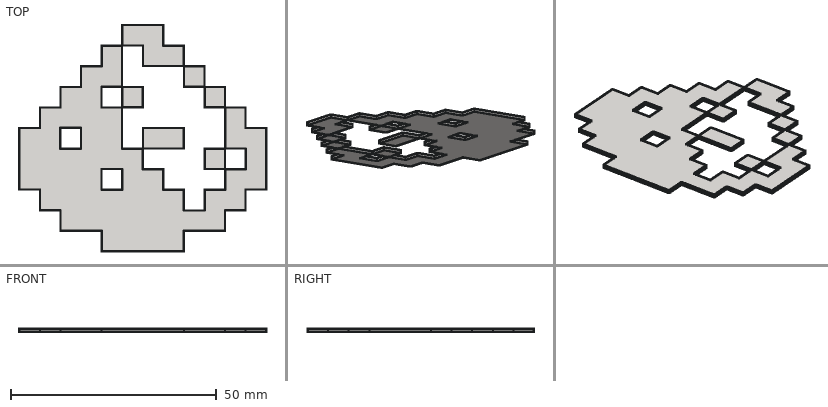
import cadquery as cq

LENGTH = 60.0
COLUMNS = 12
ROWS = 11
THICKNESS = 0.8
CELL = LENGTH / COLUMNS

MAIN_OUTLINE = [
    (4, 0), (8, 0), (8, 1), (10, 1), (10, 2), (11, 2), (11, 3), (12, 3), (12, 6), (11, 6), (11, 7),
    (10, 7), (10, 5), (11, 5), (11, 4), (10, 4), (10, 3), (9, 3), (9, 2), (8, 2),
    (8, 3), (7, 3), (7, 4), (6, 4), (6, 5), (5, 5), (5, 7), (4, 7), (4, 8), (5, 8), (5, 10),
    (4, 10), (4, 9), (3, 9), (3, 8), (2, 8), (2, 7), (1, 7), (1, 6),
    (0, 6), (0, 3), (1, 3), (1, 2), (2, 2), (2, 1), (4, 1),
]
CAP_OUTLINE = [(5, 10), (6, 10), (6, 9), (8, 9), (8, 10), (7, 10), (7, 11), (5, 11)]

WINDOW_CELLS = [(2, 5), (4, 3)]
SQUARE_TILE_CELLS = [(8, 8), (9, 7), (5, 7), (9, 4)]
BAR_CELL = (6, 5)
BAR_CELLS_LONG = 2


def grid_plate(outline):
    """Flat plate bounded by grid corners, with the pattern centred on the origin."""
    points = [((column - COLUMNS / 2) * CELL, (row - ROWS / 2) * CELL) for column, row in outline]
    return cq.Workplane("XY").polyline(points).close().extrude(THICKNESS)


def rectangular_tile(corner, cells_long=1):
    """Tile one cell high, starting at its lower left grid corner."""
    column, row = corner
    end = column + cells_long
    return grid_plate([(column, row), (end, row), (end, row + 1), (column, row + 1)])


def make_main_plate():
    """Stepped plate with square through windows."""
    plate = grid_plate(MAIN_OUTLINE)
    for cell in WINDOW_CELLS:
        plate = plate.cut(rectangular_tile(cell))
    return plate


main_plate = make_main_plate()
cap = grid_plate(CAP_OUTLINE)
bar = rectangular_tile(BAR_CELL, BAR_CELLS_LONG)
square_tiles = [rectangular_tile(cell).val() for cell in SQUARE_TILE_CELLS]

result = cq.Compound.makeCompound([main_plate.val(), cap.val(), bar.val(), *square_tiles])